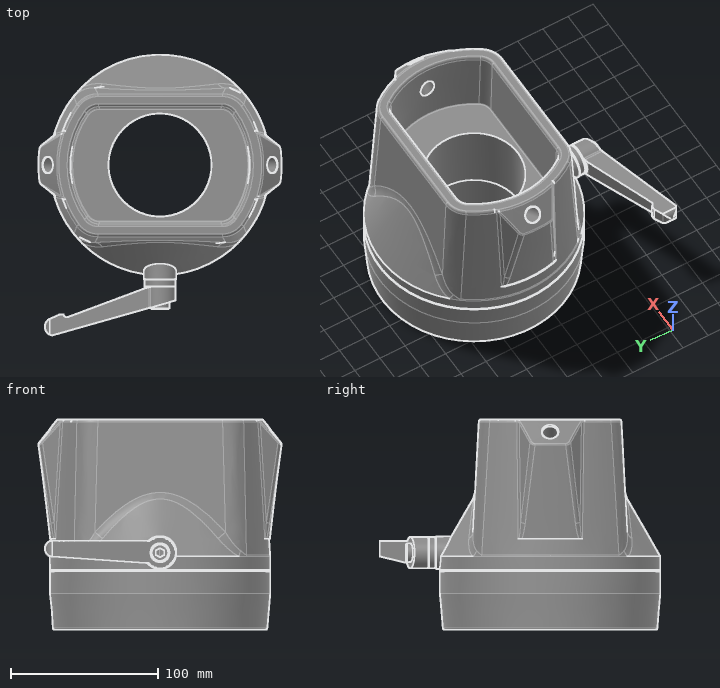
import cadquery as cq
import math

ring_radius = 75.0
bore_radius = 34.9
overall_height = 143.0
base_top_z = 39.9

base_foot_radius = 72.8
base_taper_top_z = 25.0
base_foot_fillet = 1.5

seam_groove_height = 1.0
seam_groove_depth = 2.9
ring_top_z = 50.0
shoulder_slope = math.tan(math.radians(30))
shoulder_top_z = 108.7

tower_draft = math.tan(math.radians(3))
tower_top_radius = 70.0
tower_top_half_width = 48.5
tower_corner_radius = 17.7
shoulder_fillet = 10.0
rim_fillet = 2.0

wall = 8.5
cavity_draft = 0.03
cavity_floor_z = 93.0
cavity_corner_radius = 10.1
cavity_floor_fillet = 0.4

lug_bottom_z = 61.8
lug_bottom_radius = 74.8
lug_tip_z = 126.2
lug_tip_radius = 82.8
lug_top_radius = 69.8
lug_root_radius = 63.9
lug_outline_x = 87.7
lug_bottom_half_width = 10.5
lug_top_half_width = 8.5
lug_flank_slope = 0.63
lug_fillet = 5.0
lug_bevel_fillet = 1.5
lug_root_sink = 0.1
lug_hole_radius = 5.3
lug_hole_x = 76.5
lug_hole_tilt = math.radians(40)
lug_hole_depth = 26.7
lug_hole_chamfer = 0.5

lever_z = 52.5
boss_root_radius = 11.6
boss_root_y = -53.4
boss_end_radius = 11.0
boss_end_y = -77.5

hub_radius = 10.7
collar_end_y = -82.2
groove_size = 0.5
arm_face_y = -95.0
arm_face_end_x = -73.2
arm_face_end_y = -115.7
arm_face_slope = (arm_face_end_y - arm_face_y) / arm_face_end_x
arm_shoulder_x = -74.8
arm_shoulder_y = -104.3
arm_tip_x = -78.2
arm_tip_y = -110.5
bump_y = -101.5
bump_outer_x = -68.3
bump_inner_x = -65.5
bump_foot_y = -103.0
bump_foot_x = -62.2
bump_arc_x = -64.3
arm_root_x = -11.0
arm_root_y = -83.9
arm_hub_x = -6.5
arm_back_y = collar_end_y - groove_size
arm_top_z = 60.5
arm_bottom_z = 44.8
arm_tip_bottom_z = 50.0
arm_root_fillet = 2.0
screw_radius = 6.5
screw_end_y = -98.0
screw_chamfer = 1.0
socket_width = 6.3
socket_depth = 2.9


def frustum(bottom_radius, top_radius, bottom_z, height):
    """Upright cone frustum on the Z axis."""
    cone = cq.Solid.makeCone(bottom_radius, top_radius, height, pnt=cq.Vector(0, 0, bottom_z))
    return cq.Workplane(obj=cone)


def drafted_block(top_radius, top_half_width, corner_radius, draft, bottom_z):
    """Cone cut by two leaning flats, with rounded corners; it reaches the top of the part."""
    height = overall_height - bottom_z
    growth = draft * height
    bottom_half_width = top_half_width + growth
    slab = (
        cq.Workplane("YZ")
        .polyline([
            (-bottom_half_width, bottom_z),
            (bottom_half_width, bottom_z),
            (top_half_width, overall_height),
            (-top_half_width, overall_height),
        ])
        .close()
        .extrude(2 * ring_radius, both=True)
    )
    block = frustum(top_radius + growth, top_radius, bottom_z, height).intersect(slab)
    corners = [
        edge for edge in block.edges("not(#Z)").vals()
        if abs(edge.Center().y) > top_half_width / 2
    ]
    return block.newObject(corners).fillet(corner_radius)


def revolve_about_z(profile):
    """Full turn of an open outline in the XZ plane."""
    return profile.close().revolve(360, (0, 0, 0), (0, 1, 0))


def make_base():
    profile = (
        cq.Workplane("XZ")
        .moveTo(bore_radius, 0)
        .lineTo(base_foot_radius, 0)
        .lineTo(ring_radius, base_taper_top_z)
        .lineTo(ring_radius, base_top_z)
        .lineTo(bore_radius, base_top_z)
    )
    outer_foot_edge = cq.selectors.RadiusNthSelector(-1)
    return revolve_about_z(profile).faces("<Z").edges(outer_foot_edge).fillet(base_foot_fillet)


def make_shoulder():
    """Ring with the seam groove at its foot and the cone above it."""
    groove_radius = ring_radius - seam_groove_depth
    groove_top_z = base_top_z + seam_groove_height
    top_radius = ring_radius - shoulder_slope * (shoulder_top_z - ring_top_z)
    profile = (
        cq.Workplane("XZ")
        .moveTo(0, base_top_z)
        .lineTo(groove_radius, base_top_z)
        .lineTo(groove_radius, groove_top_z)
        .lineTo(ring_radius, groove_top_z)
        .lineTo(ring_radius, ring_top_z)
        .lineTo(top_radius, shoulder_top_z)
        .lineTo(0, shoulder_top_z)
    )
    return revolve_about_z(profile)


def make_tower_on_shoulder():
    tower = drafted_block(
        tower_top_radius, tower_top_half_width, tower_corner_radius, tower_draft, ring_top_z
    )
    body = make_shoulder().union(tower)
    junction = [
        edge for edge in body.edges("not(%CIRCLE)").vals()
        if edge.BoundingBox().zmax < cavity_floor_z
        and abs(edge.Center().y) > tower_top_half_width
    ]
    body = body.newObject(junction).fillet(shoulder_fillet)
    return body.faces(">Z").edges().fillet(rim_fillet)


def wedge_section(half_width, z, tower_radius):
    """Plan of the wedge at height z, flared by fillets that run out on the round side of the tower."""
    flank = cq.Vector(1, -lug_flank_slope, 0).normalized()
    normal = cq.Vector(lug_flank_slope, 1, 0).normalized()
    tip = cq.Vector(lug_outline_x, half_width, 0)
    centre_offset = tip.dot(normal) + lug_fillet
    centre_along = math.sqrt((tower_radius + lug_fillet) ** 2 - centre_offset ** 2)
    centre = normal * centre_offset + flank * centre_along
    start = centre - normal * lug_fillet
    middle = centre - (normal + centre.normalized()).normalized() * lug_fillet
    end = centre.normalized() * tower_radius
    inner = end * (lug_root_radius / tower_radius)

    def mirrored(point):
        return (point.x, -point.y)

    return (
        cq.Workplane("XY", origin=(0, 0, z))
        .moveTo(*mirrored(tip))
        .lineTo(tip.x, tip.y)
        .lineTo(start.x, start.y)
        .threePointArc((middle.x, middle.y), (end.x, end.y))
        .lineTo(inner.x, inner.y)
        .lineTo(*mirrored(inner))
        .lineTo(*mirrored(end))
        .threePointArc(mirrored(middle), mirrored(start))
        .close()
        .val()
    )


def make_lug():
    """Turned ring with a bevelled top, cut down to the wedge between two flanks on the +X side."""
    ring = revolve_about_z(
        cq.Workplane("XZ")
        .moveTo(0, lug_bottom_z)
        .lineTo(lug_bottom_radius, lug_bottom_z)
        .lineTo(lug_tip_radius, lug_tip_z)
        .lineTo(lug_top_radius, overall_height)
        .lineTo(0, overall_height)
    )
    ring = ring.faces(">Z").edges().fillet(rim_fillet)
    root_top_radius = tower_top_radius - lug_root_sink
    root_bottom_radius = root_top_radius + tower_draft * (overall_height - lug_bottom_z)
    wedge = cq.Solid.makeLoft([
        wedge_section(lug_bottom_half_width, lug_bottom_z, root_bottom_radius),
        wedge_section(lug_top_half_width, overall_height, root_top_radius),
    ], True)
    lug = ring.intersect(cq.Workplane(obj=wedge))
    flank_edges = [
        edge for edge in lug.edges().vals()
        if edge.BoundingBox().xmax > lug_tip_radius - lug_bevel_fillet
        and edge.BoundingBox().zmin < lug_tip_z - lug_fillet
    ]
    lug = lug.newObject(flank_edges).fillet(lug_fillet)
    bevel_edges = [
        edge for edge in lug.edges().vals()
        if edge.BoundingBox().zmin > lug_tip_z - lug_fillet
        and edge.BoundingBox().xmax > lug_tip_radius - lug_bevel_fillet
        and edge.BoundingBox().ylen > lug_bevel_fillet
    ]
    return lug.newObject(bevel_edges).fillet(lug_bevel_fillet)


def make_lug_hole():
    """Countersunk hole from the bevel of the +X lug down into the cavity."""
    bevel_slope = (overall_height - lug_tip_z) / (lug_tip_radius - lug_top_radius)
    mouth = cq.Vector(lug_hole_x, 0, overall_height - (lug_hole_x - lug_top_radius) * bevel_slope)
    inward = cq.Vector(-math.cos(lug_hole_tilt), 0, -math.sin(lug_hole_tilt))
    start = mouth - inward * lug_hole_chamfer
    hole = cq.Solid.makeCylinder(lug_hole_radius, lug_hole_depth, start, inward)
    countersink = cq.Solid.makeCone(
        lug_hole_radius + 2 * lug_hole_chamfer, lug_hole_radius, 2 * lug_hole_chamfer, start, inward
    )
    return cq.Workplane(obj=hole.fuse(countersink))


def make_cavity():
    cavity = drafted_block(
        tower_top_radius - wall,
        tower_top_half_width - wall,
        cavity_corner_radius,
        -cavity_draft,
        cavity_floor_z,
    )
    return cavity.faces("<Z").edges().fillet(cavity_floor_fillet)


def make_boss():
    length = boss_root_y - boss_end_y
    root = cq.Vector(0, boss_root_y, lever_z)
    return cq.Workplane(
        obj=cq.Solid.makeCone(boss_root_radius, boss_end_radius, length, root, cq.Vector(0, -1, 0))
    )


def make_housing():
    housing = make_tower_on_shoulder().union(make_boss())
    lug = make_lug()
    hole = make_lug_hole()
    for turn in (0, 180):
        housing = housing.union(lug.rotate((0, 0, 0), (0, 0, 1), turn))
    housing = housing.cut(make_cavity())
    inner_rim = housing.faces(">Z").wires(cq.selectors.LengthNthSelector(0)).edges()
    housing = housing.newObject(inner_rim.vals()).fillet(rim_fillet)
    bore = cq.Workplane("XY").circle(bore_radius).extrude(overall_height)
    housing = housing.cut(bore)
    for turn in (0, 180):
        housing = housing.cut(hole.rotate((0, 0, 0), (0, 0, 1), turn))
    return housing


def hub_disc(radius, start_y, end_y):
    """Cylinder on the lever axis."""
    return cq.Workplane("XZ", origin=(0, start_y, lever_z)).circle(radius).extrude(start_y - end_y)


def make_hub():
    """Collar and hub on the lever axis, cut off by the slanting outer face."""
    hub = hub_disc(hub_radius, boss_end_y, arm_face_y - hub_radius)
    neck_radius = hub_radius - groove_size
    for groove_y in (boss_end_y, collar_end_y):
        groove = hub_disc(2 * hub_radius, groove_y, groove_y - groove_size)
        hub = hub.cut(groove.cut(hub_disc(neck_radius, groove_y, groove_y - groove_size)))
    cut_half_length = 2 * hub_radius
    cut_drop = cut_half_length * arm_face_slope
    beyond_face = (
        cq.Workplane("XY")
        .moveTo(-cut_half_length, arm_face_y - cut_drop)
        .lineTo(cut_half_length, arm_face_y + cut_drop)
        .lineTo(cut_half_length, arm_face_y - cut_half_length)
        .lineTo(-cut_half_length, arm_face_y - cut_half_length)
        .close()
        .extrude(2 * lever_z)
    )
    return hub.cut(beyond_face)


def make_arm():
    """Arm as the common part of its plan (with the thumb bump) and its elevation."""
    plan = (
        cq.Workplane("XY")
        .moveTo(0, arm_face_y)
        .lineTo(arm_face_end_x, arm_face_end_y)
        .threePointArc((arm_tip_x, arm_tip_y), (arm_shoulder_x, arm_shoulder_y))
        .lineTo(bump_outer_x, bump_y)
        .lineTo(bump_inner_x, bump_y)
        .threePointArc((bump_arc_x, bump_foot_y), (bump_foot_x, bump_foot_y))
        .lineTo(arm_root_x, arm_root_y)
        .lineTo(arm_hub_x, arm_back_y)
        .lineTo(0, arm_back_y)
        .close()
        .extrude(2 * lever_z)
    )
    tip_middle_z = (arm_top_z + arm_tip_bottom_z) / 2
    elevation = (
        cq.Workplane("XZ")
        .moveTo(0, arm_top_z)
        .lineTo(arm_shoulder_x, arm_top_z)
        .threePointArc((arm_tip_x, tip_middle_z), (arm_shoulder_x, arm_tip_bottom_z))
        .lineTo(0, arm_bottom_z)
        .close()
        .extrude(2 * ring_radius)
    )
    return plan.intersect(elevation)


def make_screw():
    """Screw head standing out of the slanting face, with a hexagon socket."""
    head = (
        cq.Workplane("XZ", origin=(0, collar_end_y - groove_size, lever_z))
        .circle(screw_radius)
        .extrude(collar_end_y - groove_size - screw_end_y)
        .faces("<Y")
        .chamfer(screw_chamfer)
    )
    socket = (
        cq.Workplane("XZ", origin=(0, screw_end_y, lever_z))
        .transformed(rotate=(0, 0, 90))
        .polygon(6, socket_width)
        .extrude(-socket_depth)
    )
    return head.cut(socket)


def make_lever():
    body = make_hub().union(make_arm())
    arm_roots = [
        edge for edge in body.edges("|Y").vals()
        if -hub_radius < edge.Center().x < -hub_radius / 2 and edge.Length() > hub_radius / 2
    ]
    body = body.newObject(arm_roots).fillet(arm_root_fillet)
    return body.union(make_screw())


base = make_base()
housing = make_housing()
lever = make_lever()
result = cq.Compound.makeCompound([body.solids().val() for body in (base, housing, lever)])